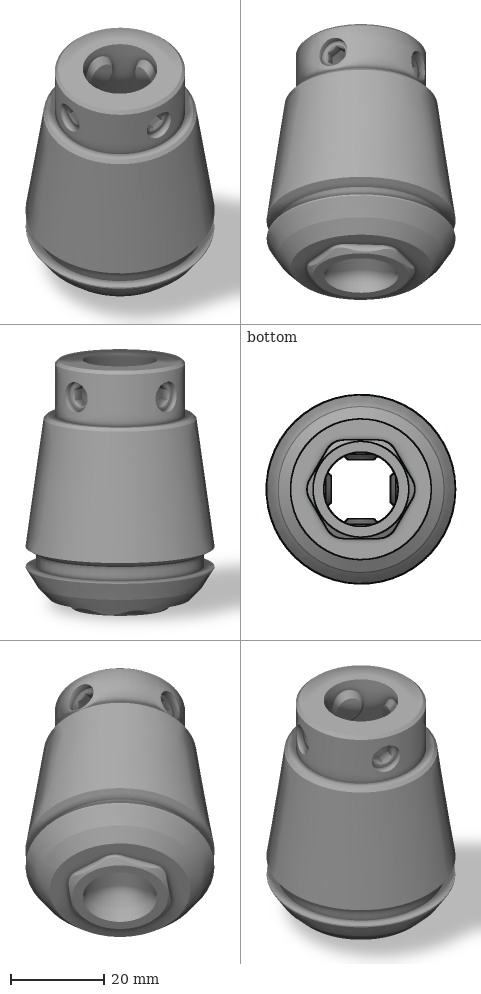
import cadquery as cq
import math

total_height = 54.0
nut_height = 2.0
lower_cone_top = 4.8
rim_bottom = 8.75
rim_top = 9.05
groove_top = 12.05
taper_bottom = 13.3
shoulder_height = 41.95
screw_height = 47.65

outer_diameter = 40.65
rim_diameter = 40.55
groove_diameter = 36.2
lower_cone_diameter = 35.65
base_diameter = 30.25
taper_top_diameter = 32.9
neck_diameter = 28.0
bore_diameter = 16.0
edge_chamfer = 0.7

nut_across_flats = 21.15
nut_corner_radius = 4.1
nut_face_diameter = 20.6

screw_count = 4
screw_hole_diameter = 6.65
screw_diameter = 8.0
screw_tip_diameter = 5.6
screw_tip_radius = 6.3
screw_length = 6.0
socket_across_flats = 4.0
socket_mouth_diameter = 4.85
socket_depth = 2.5
socket_cone_depth = 1.15


def hex_corner_diameter(across_flats):
    return across_flats / math.cos(math.radians(30))


def make_body():
    """Turned body: base cones, rim, groove, tapered body and neck."""
    outer_radius = outer_diameter / 2
    rim_radius = rim_diameter / 2
    groove_radius = groove_diameter / 2
    taper_top_radius = taper_top_diameter / 2
    neck_radius = neck_diameter / 2
    profile = [
        (0, nut_height),
        (base_diameter / 2, nut_height),
        (lower_cone_diameter / 2, lower_cone_top),
        (rim_radius, rim_bottom),
        (rim_radius, rim_top),
        (groove_radius, rim_top),
        (groove_radius, groove_top),
        (outer_radius, taper_bottom),
        (taper_top_radius, shoulder_height - edge_chamfer),
        (taper_top_radius - edge_chamfer, shoulder_height),
        (neck_radius, shoulder_height),
        (neck_radius, total_height - edge_chamfer),
        (neck_radius - edge_chamfer, total_height),
        (0, total_height),
    ]
    return cq.Workplane("XZ").polyline(profile).close().revolve(360, (0, 0), (0, 1))


def make_nut():
    """Rounded hex with corners along X, trimmed by a 45 degree cone at its lower end."""
    prism = (
        cq.Workplane("XY")
        .polygon(6, hex_corner_diameter(nut_across_flats))
        .extrude(nut_height)
        .edges("|Z")
        .fillet(nut_corner_radius)
    )
    face_radius = nut_face_diameter / 2
    cone = (
        cq.Workplane("XZ")
        .polyline([(0, 0), (face_radius, 0), (face_radius + nut_height, nut_height), (0, nut_height)])
        .close()
        .revolve(360, (0, 0), (0, 1))
    )
    return prism.intersect(cone)


def make_screw():
    """Set screw along +X: chamfered tip near the part axis, hex socket in the outer end."""
    tip_radius = screw_tip_diameter / 2
    shank_radius = screw_diameter / 2
    tip_chamfer = shank_radius - tip_radius
    head = screw_tip_radius + screw_length
    shank = (
        cq.Workplane("XZ")
        .polyline([
            (screw_tip_radius, 0),
            (screw_tip_radius, tip_radius),
            (screw_tip_radius + tip_chamfer, shank_radius),
            (head, shank_radius),
            (head, 0),
        ])
        .close()
        .revolve(360, (0, 0), (1, 0))
    )
    return shank.cut(make_socket(head))


def make_socket(head):
    """Hex recess with corners along Z, a 45 degree mouth and a conical bottom."""
    floor = head - socket_depth
    hexagon = (
        cq.Workplane("YZ", origin=(floor, 0, 0))
        .transformed(rotate=(0, 0, 90))
        .polygon(6, hex_corner_diameter(socket_across_flats))
        .extrude(socket_depth)
    )
    core_radius = socket_across_flats / 2
    mouth_radius = socket_mouth_diameter / 2
    round_part = (
        cq.Workplane("XZ")
        .polyline([
            (floor - socket_cone_depth, 0),
            (floor, core_radius),
            (head - (mouth_radius - core_radius), core_radius),
            (head, mouth_radius),
            (head, 0),
        ])
        .close()
        .revolve(360, (0, 0), (1, 0))
    )
    return hexagon.union(round_part)


def make_screw_hole():
    """Radial hole from the part axis out through the neck wall."""
    return cq.Workplane("YZ").circle(screw_hole_diameter / 2).extrude(neck_diameter / 2)


bore = cq.Workplane("XY").circle(bore_diameter / 2).extrude(total_height)
result = make_body().union(make_nut()).cut(bore)

screw_hole = make_screw_hole().translate((0, 0, screw_height))
screw = make_screw().translate((0, 0, screw_height))
for index in range(screw_count):
    angle = index * 360 / screw_count
    result = result.cut(screw_hole.rotate((0, 0, 0), (0, 0, 1), angle))
    result = result.union(screw.rotate((0, 0, 0), (0, 0, 1), angle))